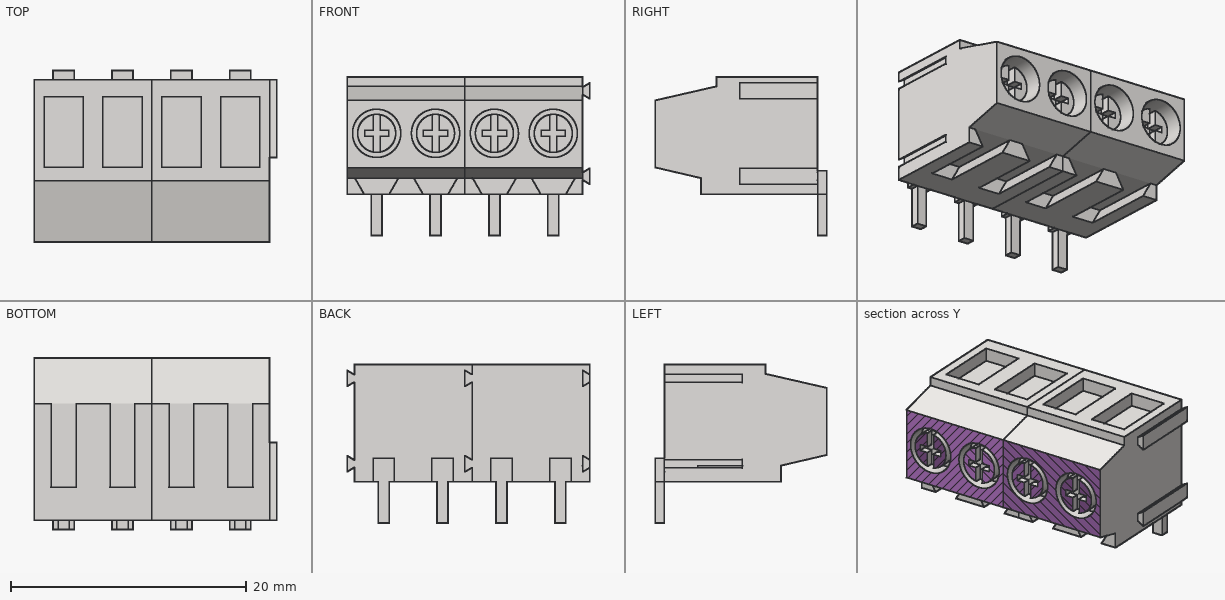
import cadquery as cq


overall_length = 20.6
module_count = 2
poles_per_module = 2
rail_height = 0.6
module_width = (overall_length - rail_height) / module_count
pitch = module_width / poles_per_module

housing_depth = 13.8
housing_height = 10.0
ledge_front = 5.21
ledge_drop = 0.8
screw_face_bottom = 2.29
screw_face_top = 8.0
step_front = 3.9
step_height = 1.38

rail_length = 6.61
rail_root_width = 0.65
rail_tip_width = 1.35
rail_levels = (1.55, 8.8)

pocket_width = 3.34
pocket_length = 5.97
pocket_back_margin = 1.45
pocket_depth = 1.17

funnel_bottom_width = 2.1
funnel_top_width = 3.69
funnel_length = 7.09

screw_level = 5.2
bore_diameter = 4.1
screw_diameter = 3.23
screw_recess = 1.22
screw_length = 2.0
long_slot_width = 0.6
short_slot_length = 2.05
short_slot_width = 0.52
slot_depth = 1.0

pin_thickness = 0.8
tab_width = 1.81
tab_height = 2.02
stem_width = 0.95
stem_length = 3.5


def pole_x(pole):
    """X of the centre of a pole, counted from the left end of a row."""
    return (pole + 0.5) * pitch


def y_prism(points, front, length):
    """Prism with an outline in X and Z, running from Y = front toward +Y."""
    return cq.Workplane("XZ", origin=(0, front, 0)).polyline(points).close().extrude(-length)


def y_cylinder(x, diameter, front, length):
    """Cylinder along Y at the level of the screws."""
    return cq.Workplane("XZ", origin=(x, front, screw_level)).circle(diameter / 2).extrude(-length)


def dovetail(x, level):
    """Dovetail bar at the back of a housing, narrow at x and flaring toward +X."""
    root = rail_root_width / 2
    tip = rail_tip_width / 2
    points = [
        (x, level - root),
        (x + rail_height, level - tip),
        (x + rail_height, level + tip),
        (x, level + root),
    ]
    return y_prism(points, housing_depth - rail_length, rail_length)


def housing_block():
    """Housing section, extruded over the width of one module."""
    section = [
        (0, screw_face_bottom),
        (step_front, step_height),
        (step_front, 0),
        (housing_depth, 0),
        (housing_depth, housing_height),
        (ledge_front, housing_height),
        (ledge_front, housing_height - ledge_drop),
        (0, screw_face_top),
    ]
    return cq.Workplane("YZ").polyline(section).close().extrude(module_width)


def top_pocket(x):
    """Rectangular pocket sunk into the top face."""
    pocket_y = housing_depth - pocket_back_margin - pocket_length / 2
    face = cq.Workplane("XY", origin=(x, pocket_y, housing_height))
    return face.rect(pocket_width, pocket_length).extrude(-pocket_depth)


def wire_funnel(x):
    """Tapered wire entry, open at the step face and at the underside."""
    points = [
        (x - funnel_bottom_width / 2, 0),
        (x + funnel_bottom_width / 2, 0),
        (x + funnel_top_width / 2, step_height),
        (x - funnel_top_width / 2, step_height),
    ]
    return y_prism(points, step_front, funnel_length)


def make_housing():
    """Two-pole housing with grooves on its left side and rails on its right side."""
    housing = housing_block()
    for pole in range(poles_per_module):
        x = pole_x(pole)
        housing = housing.cut(top_pocket(x))
        housing = housing.cut(wire_funnel(x))
        housing = housing.cut(y_cylinder(x, bore_diameter, 0, screw_recess + screw_length))
    for level in rail_levels:
        housing = housing.cut(dovetail(0, level))
        housing = housing.union(dovetail(module_width, level))
    return housing


def make_screw():
    """Screw standing on the floor of its bore, with a cross slot in its head."""
    screw = y_cylinder(0, screw_diameter, screw_recess, screw_length)
    slots = cq.Workplane("XZ", origin=(0, screw_recess, screw_level))
    long_slot = slots.rect(long_slot_width, screw_diameter).extrude(-slot_depth)
    short_slot = slots.rect(short_slot_length, short_slot_width).extrude(-slot_depth)
    return screw.cut(long_slot).cut(short_slot)


def make_pin():
    """Solder pin with a wide tab on the back face and a narrow stem below the housing."""
    half_tab = tab_width / 2
    half_stem = stem_width / 2
    points = [
        (-half_tab, tab_height),
        (-half_tab, 0),
        (-half_stem, 0),
        (-half_stem, -stem_length),
        (half_stem, -stem_length),
        (half_stem, 0),
        (half_tab, 0),
        (half_tab, tab_height),
    ]
    return y_prism(points, housing_depth, pin_thickness)


housings = [make_housing().translate((i * module_width, 0, 0)).val() for i in range(module_count)]

pole_count = module_count * poles_per_module
screws = [make_screw().translate((pole_x(pole), 0, 0)).val() for pole in range(pole_count)]
pins = [make_pin().translate((pole_x(pole), 0, 0)).val() for pole in range(pole_count)]

result = cq.Compound.makeCompound([*housings, *screws, *pins])